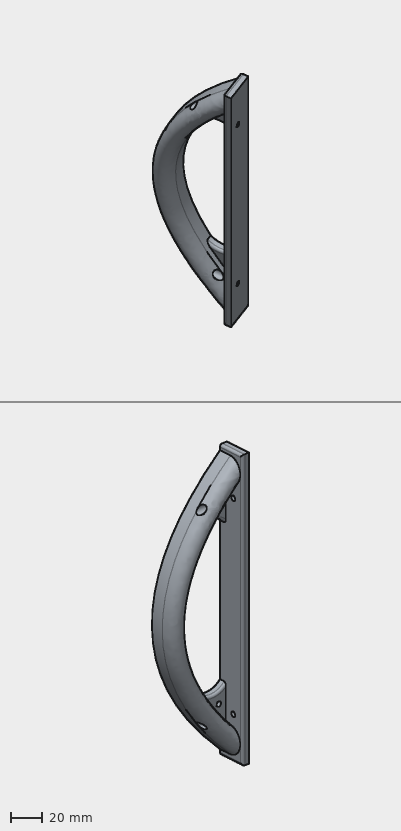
import cadquery as cq
import math

plate_length = 220.0
plate_width = 22.0
plate_thickness = 6.0
plate_edge_radius = 2.0

overall_reach = 63.1
grip_width = 15.0
grip_depth = 20.0
grip_flat_depth = 10.1
bow_radius = 91.5
bow_half_length = 136.5

web_thickness = 6.0
web_arc_radius = 16.3
web_arc_x = -18.3
web_arc_peak_z = 61.8
web_base_z = 54.0
web_edge_radius = 2.0
web_hole_x = -11.9
web_hole_z = 70.0

screw_diameter = 3.7
access_diameter = 6.2
screw_y = -13.2
screw_z = 76.3

bow_vertex_x = -overall_reach + grip_width / 2


def bow_x(z):
    """X of the grip's parabolic centerline at height z."""
    return bow_vertex_x + z**2 / (2 * bow_radius)


def mounting_plate():
    plate = cq.Workplane("XY").box(
        plate_thickness, plate_width, plate_length, centered=(False, False, True)
    ).translate((-plate_thickness, -plate_width, 0))
    rounded_edges = plate.faces("<X").edges("<Y or <Z or >Z")
    return plate.newObject(rounded_edges.vals()).fillet(plate_edge_radius)


def grip():
    bow_end_x = bow_x(bow_half_length)
    start = cq.Vector(bow_end_x, 0, -bow_half_length)
    control = cq.Vector(2 * bow_vertex_x - bow_end_x, 0, 0)
    end = cq.Vector(bow_end_x, 0, bow_half_length)
    path = cq.Workplane(cq.Edge.makeBezier([start, control, end]))

    tangent = control - start
    section_plane = cq.Plane(
        origin=start.toTuple(),
        xDir=tangent.cross(cq.Vector(0, 1, 0)).toTuple(),
        normal=tangent.toTuple(),
    )
    half_width = grip_width / 2
    section = (
        cq.Workplane(section_plane)
        .moveTo(-half_width, 0)
        .lineTo(half_width, 0)
        .lineTo(half_width, grip_flat_depth)
        .ellipseArc(half_width, grip_depth - grip_flat_depth, 0, 180)
        .close()
    )
    bar = section.sweep(path)
    front_space = cq.Workplane("XY").box(
        overall_reach * 2, plate_width * 4, plate_length * 2
    ).translate((-plate_thickness - overall_reach, 0, 0))
    return bar.intersect(front_space)


def web():
    plate_x = -plate_thickness
    bow_top_z = math.sqrt(2 * bow_radius * (plate_x - bow_vertex_x))
    arc_z = web_arc_peak_z - web_arc_radius
    blank = (
        cq.Workplane("XZ")
        .moveTo(plate_x, web_base_z)
        .lineTo(plate_x, bow_top_z)
        .lineTo(bow_x(web_base_z), web_base_z)
        .close()
        .extrude(web_thickness)
    )
    opening = (
        cq.Workplane("XZ").center(web_arc_x, arc_z).circle(web_arc_radius).extrude(web_thickness)
    )
    body = blank.cut(opening)
    body = body.edges("%CIRCLE").edges("<Y").fillet(web_edge_radius)
    hole = (
        cq.Workplane("XZ").center(web_hole_x, web_hole_z)
        .circle(screw_diameter / 2).extrude(web_thickness)
    )
    return body.cut(hole)


def screw_hole(z):
    center = cq.Workplane("YZ").center(screw_y, z)
    through = center.circle(screw_diameter / 2).extrude(-overall_reach)
    access = (
        center.workplane(offset=-plate_thickness).circle(access_diameter / 2).extrude(-overall_reach)
    )
    return through.union(access)


upper_web = web()
result = mounting_plate().union(grip()).union(upper_web).union(upper_web.mirror("XY"))
for z in (-screw_z, screw_z):
    result = result.cut(screw_hole(z))